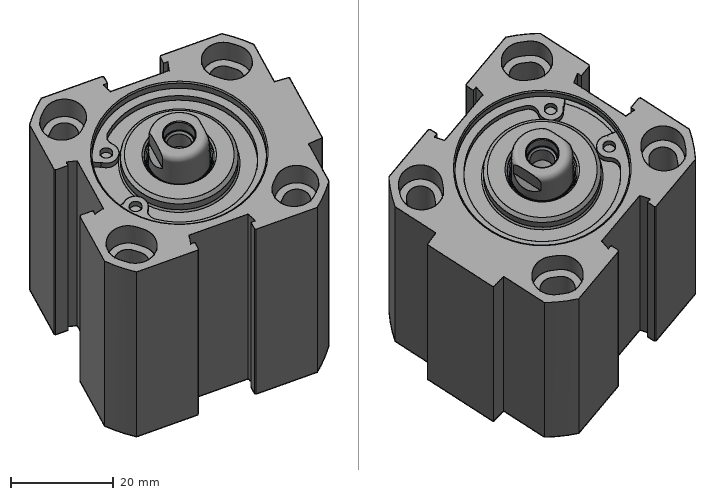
import cadquery as cq
import math

total_height = 60.5
housing_height = 54.5
ring_thickness = 1.5
ring_depth = 2.0
cap_thickness = 10.0
ring_top = housing_height - ring_depth
flange_top = ring_top - ring_thickness
pocket_floor = flange_top - cap_thickness

half_width = 23.0
half_depth = 23.95
corner_diameter = 60.0
tab_reach = 27.05
tab_root_half_width = 8.2
tab_tip_half_width = 8.0

slot_floor = 19.0
slot_undercut = 21.05
slot_mouth_half_width = 6.0
slot_mouth_chamfer = 0.25
slot_undercut_half_width = 6.9
slot_floor_half_width = 6.3

hole_x = 16.5
hole_y = 17.5
hole_stretch = 1.45
through_width = 5.5
counterbore_width = 8.6
counterbore_depth = 5.75

bore_diameter = 33.7
entry_diameter = 34.1
mouth_diameter = 34.65
groove_diameter = 35.8
mouth_chamfer = (mouth_diameter - entry_diameter) / 2

boss_diameter = 23.0
boss_tip_diameter = 21.4
boss_height = 2.9
boss_chamfer_height = 0.6
boss_foot_diameter = 23.7
boss_foot_height = 0.35
rod_hole_diameter = 12.5
wiper_diameter = 13.7
wiper_mouth_diameter = 14.5
wiper_depth = 1.0
lip_diameter = 13.05
wiper_chamfer = (wiper_mouth_diameter - wiper_diameter) / 2
lip_chamfer = (lip_diameter - rod_hole_diameter) / 2

ring_inner_diameter = 30.6
ear_x = 7.1
ear_y = -12.45
ear_radius = 2.5
ear_hole_diameter = 2.5
ear_blend_radius = 2.1
end_angle = math.radians(30)

rod_diameter = 12.0
rod_edge_radius = 1.3
across_flats = 10.0
flat_length = 4.3
flat_runout = 1.2
socket_mouth_diameter = 6.6
socket_diameter = 6.25
socket_depth = 2.7
socket_cone_height = 0.4
socket_cone_diameter = 5.75
drill_diameter = 4.9
drill_depth = 7.25
drill_tip_height = 1.45


def revolve_profile(points):
    """Solid of revolution about Z from a closed outline of (radius, z) points."""
    return cq.Workplane("XZ").polyline(points).close().revolve(360, (0, 0, 0), (0, 1, 0))


def disc(diameter, bottom, top):
    return cq.Workplane("XY").workplane(offset=bottom).circle(diameter / 2).extrude(top - bottom)


def slot_cutter(outer_face):
    """Slot that opens on the -Y side, running the full height of the housing."""
    right_side = [
        (slot_floor_half_width, -slot_floor),
        (slot_undercut_half_width, -slot_undercut),
        (slot_mouth_half_width, -slot_undercut),
        (slot_mouth_half_width, -outer_face + slot_mouth_chamfer),
        (slot_mouth_half_width + slot_mouth_chamfer, -outer_face),
    ]
    left_side = [(-x, y) for x, y in reversed(right_side)]
    return cq.Workplane("XY").polyline(right_side + left_side).close().extrude(housing_height)


def oblong(width, x, y, bottom, top):
    """Oblong hole whose length runs across the diagonal through its corner."""
    angle = -45 if x * y > 0 else 45
    return (
        cq.Workplane("XY").workplane(offset=bottom).center(x, y)
        .slot2D(hole_stretch + width, width, angle).extrude(top - bottom)
    )


def make_housing_blank():
    block = cq.Workplane("XY").rect(2 * half_width, 2 * half_depth).extrude(housing_height)
    block = block.intersect(disc(corner_diameter, 0, housing_height))
    tab = (
        cq.Workplane("XY")
        .polyline([
            (-tab_root_half_width, slot_floor),
            (-tab_root_half_width, half_depth),
            (-tab_tip_half_width, tab_reach),
            (tab_tip_half_width, tab_reach),
            (tab_root_half_width, half_depth),
            (tab_root_half_width, slot_floor),
        ])
        .close().extrude(housing_height)
    )
    return block.union(tab)


def make_bore_cutter():
    bore_radius = bore_diameter / 2
    entry_radius = entry_diameter / 2
    groove_radius = groove_diameter / 2
    return revolve_profile([
        (0, pocket_floor),
        (bore_radius, pocket_floor),
        (bore_radius, flange_top),
        (groove_radius, flange_top),
        (groove_radius, ring_top),
        (entry_radius, ring_top),
        (entry_radius, housing_height - mouth_chamfer),
        (mouth_diameter / 2, housing_height),
        (0, housing_height),
    ])


def make_housing():
    body = make_housing_blank().cut(make_bore_cutter())
    body = body.cut(slot_cutter(half_depth))
    for turn in (-90, 90):
        body = body.cut(slot_cutter(half_width).rotate((0, 0, 0), (0, 0, 1), turn))
    for x in (-hole_x, hole_x):
        for y in (-hole_y, hole_y):
            body = body.cut(oblong(through_width, x, y, 0, housing_height))
            counterbore_floor = housing_height - counterbore_depth
            body = body.cut(oblong(counterbore_width, x, y, counterbore_floor, housing_height))
    return body


def make_cap():
    boss_top = flange_top + boss_height
    wiper_floor = boss_top - wiper_depth
    foot_top = flange_top + boss_foot_height
    return revolve_profile([
        (rod_hole_diameter / 2, pocket_floor),
        (bore_diameter / 2, pocket_floor),
        (bore_diameter / 2, flange_top),
        (boss_foot_diameter / 2, flange_top),
        (boss_diameter / 2, foot_top),
        (boss_diameter / 2, boss_top - boss_chamfer_height),
        (boss_tip_diameter / 2, boss_top),
        (wiper_mouth_diameter / 2, boss_top),
        (wiper_diameter / 2, boss_top - wiper_chamfer),
        (wiper_diameter / 2, wiper_floor),
        (lip_diameter / 2, wiper_floor),
        (rod_hole_diameter / 2, wiper_floor - lip_chamfer),
    ])


def make_ring_gap():
    """Opening between the ring ends; each end face is tangent to its ear."""
    tangent_x = ear_x - ear_radius * math.cos(end_angle)
    tangent_y = ear_y - ear_radius * math.sin(end_angle)
    gap_bottom = -groove_diameter / 2
    end_x = tangent_x + (tangent_y - gap_bottom) * math.tan(end_angle)
    return (
        cq.Workplane("XY").workplane(offset=flange_top)
        .polyline([
            (-tangent_x, ear_y),
            (-tangent_x, tangent_y),
            (-end_x, gap_bottom),
            (end_x, gap_bottom),
            (tangent_x, tangent_y),
            (tangent_x, ear_y),
        ])
        .close().extrude(ring_thickness)
    )


def make_ring():
    ring = disc(groove_diameter, flange_top, ring_top)
    ring = ring.cut(disc(ring_inner_diameter, flange_top, ring_top)).cut(make_ring_gap())
    ear_places = [(-ear_x, ear_y), (ear_x, ear_y)]
    ear_plane = cq.Workplane("XY").workplane(offset=flange_top).pushPoints(ear_places)
    ring = ring.union(ear_plane.circle(ear_radius).extrude(ring_thickness))
    blend_height = (flange_top + ring_top) / 2
    for side in (-1, 1):
        inner_corner = (side * (ear_x + ear_radius), ear_y + ear_radius / 2, blend_height)
        ring = ring.edges(cq.selectors.NearestToPointSelector(inner_corner)).fillet(ear_blend_radius)
    return ring.cut(ear_plane.circle(ear_hole_diameter / 2).extrude(ring_thickness))


def make_flat_cutter():
    """Material removed beside the flat on the +Y side, with its sloped foot."""
    flat_y = across_flats / 2
    rod_radius = rod_diameter / 2
    flat_foot = total_height - flat_length
    return (
        cq.Workplane("YZ")
        .polyline([
            (flat_y, total_height),
            (flat_y, flat_foot),
            (rod_radius, flat_foot - flat_runout),
            (rod_radius, total_height),
        ])
        .close().extrude(rod_radius, both=True)
    )


def make_socket_cutter():
    mouth_step = (socket_mouth_diameter - socket_diameter) / 2
    cone_top = total_height - socket_depth
    drill_floor = total_height - drill_depth
    return revolve_profile([
        (0, total_height),
        (socket_mouth_diameter / 2, total_height),
        (socket_diameter / 2, total_height - mouth_step),
        (socket_diameter / 2, cone_top),
        (socket_cone_diameter / 2, cone_top),
        (drill_diameter / 2, cone_top - socket_cone_height),
        (drill_diameter / 2, drill_floor),
        (0, drill_floor - drill_tip_height),
    ])


def make_rod():
    rod = disc(rod_diameter, pocket_floor, total_height).edges(">Z").fillet(rod_edge_radius)
    flat_cutter = make_flat_cutter()
    rod = rod.cut(flat_cutter).cut(flat_cutter.mirror("XZ"))
    return rod.cut(make_socket_cutter())


housing = make_housing()
cap = make_cap()
ring = make_ring()
rod = make_rod()

result = cq.Compound.makeCompound([housing.val(), cap.val(), ring.val(), rod.val()])